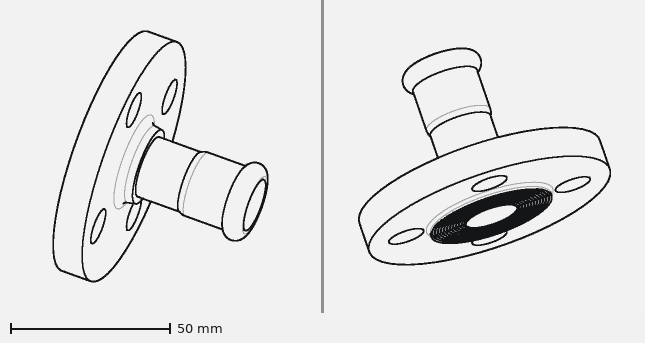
import math

import cadquery as cq

flange_radius = 40.0
flange_thickness = 10.0
bore_radius = 8.5

face_radius = 20.0
face_height = 2.0
face_fillet = 1.0

groove_inner_radius = 9.0
groove_count = 11
groove_flank_angle = 45.0

bolt_hole_radius = 11.5 / 2
bolt_circle_radius = 27.5
bolt_count = 4

hub_length = 5.0
hub_end_radius = 12.35
hub_taper_angle = 10.0
hub_fillet = 2.9

tube_radius = 10.0
socket_radius = 21.3 / 2
shoulder_start = 31.5
shoulder_length = 2.1
bead_radius = 3.33
bead_outer_radius = 12.88
overall_length = 53.5

flange_front = face_height
flange_back = flange_front + flange_thickness
hub_end = flange_back + hub_length
shoulder_end = shoulder_start + shoulder_length
bead_center_x = overall_length - bead_radius
bead_center_radius = bead_outer_radius - bead_radius


def revolve_about_x(profile):
    """Revolve an (axial, radial) profile a full turn about the X axis."""
    return profile.close().revolve(360, (0, 0, 0), (1, 0, 0))


def arc_midpoint(center, radius, start_angle, end_angle):
    """Point halfway along an arc, with angles in radians."""
    angle = (start_angle + end_angle) / 2
    return (center[0] + radius * math.cos(angle), center[1] + radius * math.sin(angle))


def make_flange():
    """Flange disc with the raised sealing face blended into its front."""
    fillet_center = (flange_front - face_fillet, face_radius + face_fillet)
    fillet_middle = arc_midpoint(fillet_center, face_fillet, -math.pi / 2, 0)
    profile = (
        cq.Workplane("XY")
        .lineTo(0, face_radius)
        .lineTo(flange_front - face_fillet, face_radius)
        .threePointArc(fillet_middle, (flange_front, face_radius + face_fillet))
        .lineTo(flange_front, flange_radius)
        .lineTo(flange_back, flange_radius)
        .lineTo(flange_back, 0)
    )
    return revolve_about_x(profile)


def make_hub():
    """Tapered hub with a concave fillet tangent to the flange and to the cone."""
    taper = math.radians(hub_taper_angle)
    center_x = flange_back + hub_fillet
    cone_radius = hub_end_radius + (hub_end - center_x) * math.tan(taper)
    center = (center_x, cone_radius + hub_fillet / math.cos(taper))
    cone_tangent_angle = 1.5 * math.pi - taper
    cone_start = (
        center[0] + hub_fillet * math.cos(cone_tangent_angle),
        center[1] + hub_fillet * math.sin(cone_tangent_angle),
    )
    profile = (
        cq.Workplane("XY")
        .moveTo(flange_back, 0)
        .lineTo(flange_back, center[1])
        .threePointArc(arc_midpoint(center, hub_fillet, math.pi, cone_tangent_angle), cone_start)
        .lineTo(hub_end, hub_end_radius)
        .lineTo(hub_end, 0)
    )
    return revolve_about_x(profile)


def make_tube():
    """Tube with a rounded step up to the press socket and a bead at its end."""
    step_height = socket_radius - tube_radius
    shoulder_radius = (shoulder_length**2 + step_height**2) / (2 * step_height)
    shoulder_center = (shoulder_end, socket_radius - shoulder_radius)
    shoulder_span = math.asin(shoulder_length / shoulder_radius)
    shoulder_middle = arc_midpoint(
        shoulder_center, shoulder_radius, math.pi / 2 + shoulder_span, math.pi / 2
    )
    bead_rise = socket_radius - bead_center_radius
    bead_start = bead_center_x - math.sqrt(bead_radius**2 - bead_rise**2)
    profile = (
        cq.Workplane("XY")
        .moveTo(flange_back, 0)
        .lineTo(flange_back, tube_radius)
        .lineTo(shoulder_start, tube_radius)
        .threePointArc(shoulder_middle, (shoulder_end, socket_radius))
        .lineTo(bead_start, socket_radius)
        .threePointArc((bead_center_x, bead_outer_radius), (overall_length, bead_center_radius))
        .lineTo(overall_length, 0)
    )
    return revolve_about_x(profile)


def cut_face_grooves(body):
    """Cut concentric V-grooves side by side from the inner land to the rim."""
    pitch = (face_radius - groove_inner_radius) / groove_count
    depth = pitch / 2 * math.tan(math.radians(groove_flank_angle))
    for index in range(groove_count):
        inner = groove_inner_radius + index * pitch
        profile = (
            cq.Workplane("XY")
            .moveTo(0, inner)
            .lineTo(depth, inner + pitch / 2)
            .lineTo(0, inner + pitch)
        )
        body = body.cut(revolve_about_x(profile))
    return body


def cut_bore(body):
    """Straight bore along the whole axis."""
    return body.cut(cq.Workplane("YZ").circle(bore_radius).extrude(overall_length))


def cut_bolt_holes(body):
    """Bolt holes through the flange, on the Y and Z axes."""
    holes = (
        cq.Workplane("YZ")
        .polarArray(bolt_circle_radius, 0, 360, bolt_count)
        .circle(bolt_hole_radius)
        .extrude(flange_back)
    )
    return body.cut(holes)


body = make_flange().union(make_hub()).union(make_tube())
body = cut_face_grooves(body)
body = cut_bore(body)
result = cut_bolt_holes(body)